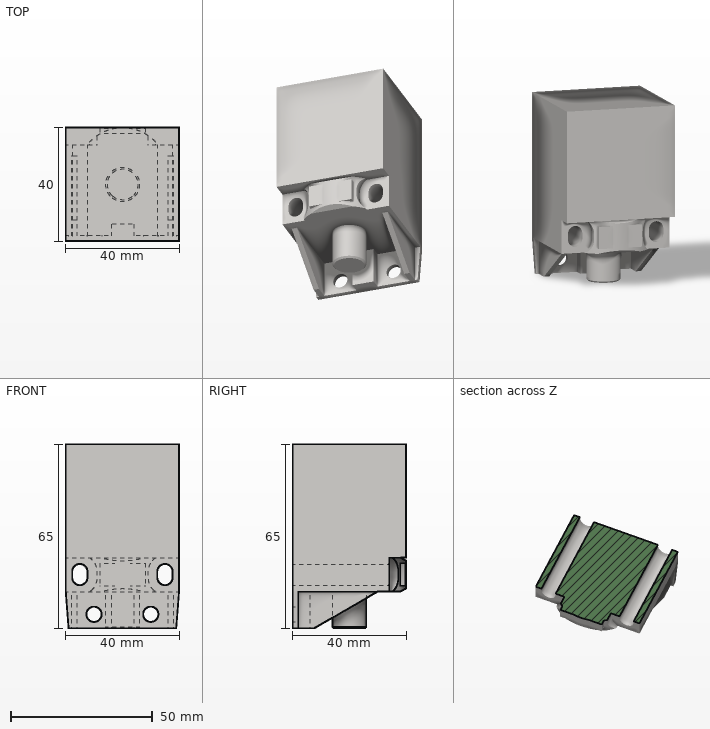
import cadquery as cq
import math

WIDTH = 40.0
DEPTH = 40.0
HEIGHT = 65.0
FRONT_Y = -DEPTH / 2
BACK_Y = DEPTH / 2

SKIRT_HEIGHT = 13.0

PLATE_THICKNESS = 2.0
PLATE_BOTTOM_WIDTH = 38.0

STIFFENER_WIDTH = 8.0
STIFFENER_THICKNESS = 4.0

RIB_OUTER_WIDTH = 36.0
RIB_THICKNESS = 2.0
RIB_FOOT_LENGTH = 7.5
RIB_SLOPE = 30.0

PIN_DIAMETER = 12.0
PIN_CHAMFER = 0.6

NOTCH_DEPTH = 6.0
NOTCH_HEIGHT = 12.0
NOTCH_FLOOR_Y = BACK_Y - NOTCH_DEPTH
NOTCH_CENTRE_Z = SKIRT_HEIGHT + NOTCH_HEIGHT / 2

CAP_RADIUS = 16.0
CAP_CHAMFER_Y = 2.0
CAP_CHAMFER_Z = 1.1

PAD_WIDTH = 16.0
PAD_HEIGHT = 8.0
PAD_TOP_Y = BACK_Y - 0.25

HOLE_DIAMETER = 5.3
HOLE_SPACING = 20.0
HOLE_Z = 5.0
SLOT_LENGTH = 7.4
SLOT_SPACING = 30.0
SLOT_Z = NOTCH_CENTRE_Z
SLOT_RECESS_DIAMETER = 12.0


def box_between(x_range, y_range, z_range):
    """Box spanning the given (low, high) ranges."""
    ranges = (x_range, y_range, z_range)
    sizes = [high - low for low, high in ranges]
    corner = tuple(low for low, high in ranges)
    return cq.Workplane("XY").box(*sizes, centered=False).translate(corner)


def centred_range(size, centre=0.0):
    return (centre - size / 2, centre + size / 2)


def plane_at_y(y):
    """XZ sketch plane at the given Y; negative extrusion runs towards +Y."""
    return cq.Workplane(cq.Plane(origin=(0, y, 0), xDir=(1, 0, 0), normal=(0, -1, 0)))


def housing():
    block = box_between(centred_range(WIDTH), (FRONT_Y, BACK_Y), (SKIRT_HEIGHT, HEIGHT))
    notch = box_between(
        centred_range(WIDTH),
        (NOTCH_FLOOR_Y, BACK_Y),
        centred_range(NOTCH_HEIGHT, NOTCH_CENTRE_Z),
    )
    return block.cut(notch)


def front_plate():
    return (
        plane_at_y(FRONT_Y)
        .polyline([
            (-WIDTH / 2, SKIRT_HEIGHT),
            (WIDTH / 2, SKIRT_HEIGHT),
            (PLATE_BOTTOM_WIDTH / 2, 0),
            (-PLATE_BOTTOM_WIDTH / 2, 0),
        ])
        .close()
        .extrude(-PLATE_THICKNESS)
    )


def plate_stiffener():
    plate_back_y = FRONT_Y + PLATE_THICKNESS
    return box_between(
        centred_range(STIFFENER_WIDTH),
        (plate_back_y, plate_back_y + STIFFENER_THICKNESS),
        (0, SKIRT_HEIGHT),
    )


def side_rib(outer_x, thickness):
    """Rib growing from outer_x by the signed thickness."""
    foot_y = FRONT_Y + RIB_FOOT_LENGTH
    top_y = foot_y + SKIRT_HEIGHT / math.tan(math.radians(RIB_SLOPE))
    return (
        cq.Workplane("YZ", origin=(outer_x, 0, 0))
        .polyline([(FRONT_Y, 0), (foot_y, 0), (top_y, SKIRT_HEIGHT), (FRONT_Y, SKIRT_HEIGHT)])
        .close()
        .extrude(thickness)
    )


def connector_pin():
    pin = cq.Workplane("XY").circle(PIN_DIAMETER / 2).extrude(SKIRT_HEIGHT)
    return pin.faces("<Z").chamfer(PIN_CHAMFER)


def chamfered_cap():
    half_chord = math.sqrt(CAP_RADIUS**2 - (CAP_RADIUS - NOTCH_DEPTH) ** 2)
    cap = (
        cq.Workplane("XY", origin=(0, 0, SKIRT_HEIGHT))
        .moveTo(-half_chord, NOTCH_FLOOR_Y)
        .threePointArc((0, BACK_Y), (half_chord, NOTCH_FLOOR_Y))
        .close()
        .extrude(NOTCH_HEIGHT)
    )
    half_height = NOTCH_HEIGHT / 2
    side_profile = (
        cq.Workplane("YZ", origin=(0, 0, NOTCH_CENTRE_Z))
        .polyline([
            (NOTCH_FLOOR_Y, -half_height),
            (BACK_Y - CAP_CHAMFER_Y, -half_height),
            (BACK_Y, -half_height + CAP_CHAMFER_Z),
            (BACK_Y, half_height - CAP_CHAMFER_Z),
            (BACK_Y - CAP_CHAMFER_Y, half_height),
            (NOTCH_FLOOR_Y, half_height),
        ])
        .close()
        .extrude(half_chord, both=True)
    )
    return cap.intersect(side_profile)


def slot_pair(width, length, start_y, depth):
    """Two upright slots at the slot centres, cut from start_y towards +Y."""
    centres = [(-SLOT_SPACING / 2, SLOT_Z), (SLOT_SPACING / 2, SLOT_Z)]
    return plane_at_y(start_y).pushPoints(centres).slot2D(length, width, 90).extrude(-depth)


def notch_cap():
    pad = box_between(
        centred_range(PAD_WIDTH),
        (NOTCH_FLOOR_Y, PAD_TOP_Y),
        centred_range(PAD_HEIGHT, NOTCH_CENTRE_Z),
    )
    recess_length = SLOT_RECESS_DIAMETER + SLOT_LENGTH - HOLE_DIAMETER
    recesses = slot_pair(SLOT_RECESS_DIAMETER, recess_length, NOTCH_FLOOR_Y, NOTCH_DEPTH)
    return chamfered_cap().union(pad).cut(recesses)


def plate_holes():
    centres = [(-HOLE_SPACING / 2, HOLE_Z), (HOLE_SPACING / 2, HOLE_Z)]
    return plane_at_y(FRONT_Y).pushPoints(centres).circle(HOLE_DIAMETER / 2).extrude(-PLATE_THICKNESS)


result = housing().union(front_plate()).union(plate_stiffener())
for side in (-1, 1):
    result = result.union(side_rib(side * RIB_OUTER_WIDTH / 2, -side * RIB_THICKNESS))
result = result.union(connector_pin()).union(notch_cap())
result = result.cut(slot_pair(HOLE_DIAMETER, SLOT_LENGTH, FRONT_Y, DEPTH))
result = result.cut(plate_holes())